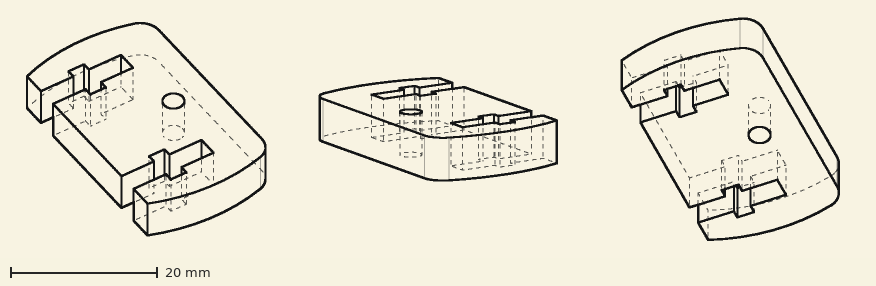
import cadquery as cq

length = 33.7
depth = 20.0
thickness = 6.0
front_width = 30.0
corner_radius = 3.0

slot_width = 3.0
slot_length = 13.0
slot_spacing = 20.0
cross_width = 5.42
cross_height = 2.5
cross_offset = 6.55

hole_diameter = 3.0
hole_y = 4.0

front_y = -depth / 2
back_y = depth / 2


def make_plate():
    """Plate with bowed left and right sides and rounded back corners."""
    half_chord = front_width / 2
    plate = (
        cq.Workplane("XY")
        .moveTo(-half_chord, front_y)
        .lineTo(half_chord, front_y)
        .threePointArc((length / 2, 0), (half_chord, back_y))
        .lineTo(-half_chord, back_y)
        .threePointArc((-length / 2, 0), (-half_chord, front_y))
        .close()
        .extrude(thickness)
    )
    return plate.edges("|Z and >Y").fillet(corner_radius)


def make_slot(x):
    """Cutter for one slot: a straight channel crossed by a wider bar."""
    channel = (
        cq.Workplane("XY")
        .center(x, front_y + slot_length / 2)
        .rect(slot_width, slot_length)
        .extrude(thickness)
    )
    cross = (
        cq.Workplane("XY")
        .center(x, front_y + cross_offset)
        .rect(cross_width, cross_height)
        .extrude(thickness)
    )
    return channel.union(cross)


result = make_plate()
for slot_x in (-slot_spacing / 2, slot_spacing / 2):
    result = result.cut(make_slot(slot_x))

hole = cq.Workplane("XY").center(0, hole_y).circle(hole_diameter / 2).extrude(thickness)
result = result.cut(hole)